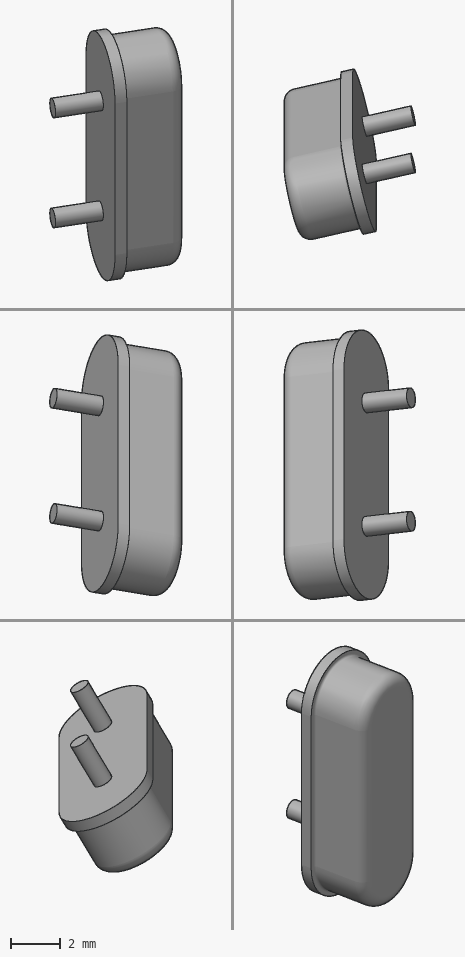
import cadquery as cq

flange_length = 11.0
flange_width = 4.0
flange_thickness = 0.5
flange_margin = 0.25
can_height = 2.51
crown_radius = 0.5
root_radius = 0.1
pin_diameter = 0.8
pin_length = 2.0
pin_pitch = 5.08

can_length = flange_length - 2 * flange_margin
can_width = flange_width - 2 * flange_margin


def upright_slot(length, width, start_y, thickness):
    """Round-ended plate, long along Z, extruded from start_y toward +Y."""
    return (
        cq.Workplane("XZ", origin=(0, start_y, 0))
        .slot2D(length, width, 90)
        .extrude(-thickness)
    )


def make_can():
    """Can standing on the flange, with a rounded crown."""
    can = upright_slot(can_length, can_width, flange_thickness, can_height)
    return can.faces(">Y").edges().fillet(crown_radius)


def make_body():
    """Flange and can in one piece, with a fillet in the corner between them."""
    flange = upright_slot(flange_length, flange_width, 0, flange_thickness)
    body = flange.union(make_can())
    rim = body.faces("<Y[1]").val()
    root_wire = rim.innerWires()[0]
    return body.newObject(root_wire.Edges()).fillet(root_radius)


def make_pins():
    """Two round leads pointing toward -Y, one above the other."""
    return (
        cq.Workplane("XZ")
        .pushPoints([(0, -pin_pitch / 2), (0, pin_pitch / 2)])
        .circle(pin_diameter / 2)
        .extrude(pin_length)
    )


result = make_body().union(make_pins())